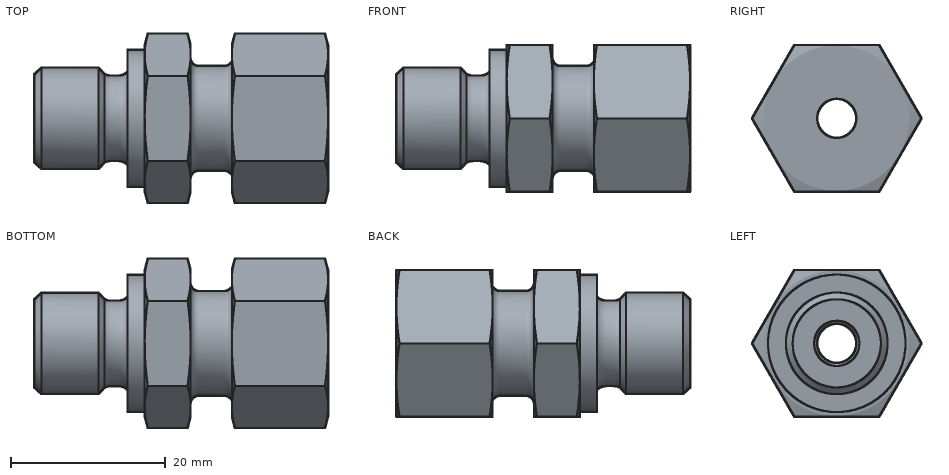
import cadquery as cq
import math

across_flats = 19.0
corner_radius = across_flats / math.sqrt(3)
crown_angle = math.radians(15)
outer_crown_diameter = 18.8
inner_crown_diameter = across_flats

thread_end = 8.3
undercut_cone_end = 9.1
undercut_floor_start = 9.85
undercut_floor_end = 10.9
flange_start = 12.05
body_hex_start = 14.25
body_hex_end = 20.2
nut_start = 25.55
nut_end = 38.0

thread_radius = 13.15 / 2
undercut_radius = 11.1 / 2
flange_radius = 17.8 / 2
neck_radius = 13.6 / 2
bore_radius = 5.0 / 2

thread_chamfer_length = 0.95
thread_chamfer_depth = 0.87
undercut_fillet = 1.6
neck_fillet = 1.0
neck_cone_start = 25.3
neck_cone_length = 0.7
nut_countersink_radius = 8.4
bore_chamfer = 0.4


def arc_point(start_x, start_radius, fillet, degrees):
    """Point on a concave fillet, at an angle from where it meets a cylinder; negative runs to -X."""
    angle = math.radians(degrees)
    return (start_x + fillet * math.sin(angle), start_radius + fillet * (1 - math.cos(angle)))


def revolve_profile(profile):
    return profile.close().revolve(360, (0, 0, 0), (1, 0, 0))


def turned_body():
    """Threaded stub, undercut, flange and neck as one revolved profile."""
    undercut_sweep = math.degrees(math.asin((undercut_floor_start - undercut_cone_end) / undercut_fillet))
    neck_floor_start = body_hex_end + neck_fillet
    neck_floor_end = neck_cone_start - neck_fillet * math.sin(math.radians(45))
    neck_cone_base = arc_point(neck_floor_end, neck_radius, neck_fillet, 45)
    undercut_wall = (flange_start, arc_point(undercut_floor_end, undercut_radius, undercut_fillet, 45)[1])

    profile = (
        cq.Workplane("XY")
        .moveTo(0, 0)
        .lineTo(0, thread_radius - thread_chamfer_depth)
        .lineTo(thread_chamfer_length, thread_radius)
        .lineTo(thread_end, thread_radius)
        .lineTo(*arc_point(undercut_floor_start, undercut_radius, undercut_fillet, -undercut_sweep))
        .threePointArc(
            arc_point(undercut_floor_start, undercut_radius, undercut_fillet, -undercut_sweep / 2),
            (undercut_floor_start, undercut_radius),
        )
        .lineTo(undercut_floor_end, undercut_radius)
        .threePointArc(
            arc_point(undercut_floor_end, undercut_radius, undercut_fillet, 22.5),
            undercut_wall,
        )
        .lineTo(flange_start, flange_radius)
        .lineTo(body_hex_end, flange_radius)
        .lineTo(body_hex_end, neck_radius + neck_fillet)
        .threePointArc(
            arc_point(neck_floor_start, neck_radius, neck_fillet, -45),
            (neck_floor_start, neck_radius),
        )
        .lineTo(neck_floor_end, neck_radius)
        .threePointArc(
            arc_point(neck_floor_end, neck_radius, neck_fillet, 22.5),
            neck_cone_base,
        )
        .lineTo(neck_cone_start + neck_cone_length, neck_cone_base[1] + neck_cone_length)
        .lineTo(nut_end, neck_cone_base[1] + neck_cone_length)
        .lineTo(nut_end, 0)
    )
    return revolve_profile(profile)


def crowned_hexagon(start, end, start_diameter, end_diameter):
    """Hexagonal prism along X with its corners coned off at both ends."""
    prism = (
        cq.Workplane("YZ", origin=(start, 0, 0))
        .polygon(6, 2 * corner_radius)
        .extrude(end - start)
    )
    start_setback = (corner_radius - start_diameter / 2) * math.tan(crown_angle)
    end_setback = (corner_radius - end_diameter / 2) * math.tan(crown_angle)
    envelope = revolve_profile(
        cq.Workplane("XY")
        .moveTo(start, 0)
        .lineTo(start, start_diameter / 2)
        .lineTo(start + start_setback, corner_radius)
        .lineTo(end - end_setback, corner_radius)
        .lineTo(end, end_diameter / 2)
        .lineTo(end, 0)
    )
    return prism.intersect(envelope)


def nut_countersink():
    """Conical recess in the nut's face, narrowing to the wide end of the neck cone."""
    recess_end = neck_cone_start + neck_cone_length
    neck_cone_rise = neck_fillet * (1 - math.cos(math.radians(45)))
    recess_floor_radius = neck_radius + neck_cone_rise + neck_cone_length
    return revolve_profile(
        cq.Workplane("XY")
        .moveTo(nut_start, 0)
        .lineTo(nut_start, nut_countersink_radius)
        .lineTo(recess_end, recess_floor_radius)
        .lineTo(recess_end, 0)
    )


def bore():
    """Through bore with a chamfered mouth at the threaded end."""
    return revolve_profile(
        cq.Workplane("XY")
        .moveTo(0, 0)
        .lineTo(0, bore_radius + bore_chamfer)
        .lineTo(bore_chamfer, bore_radius)
        .lineTo(nut_end, bore_radius)
        .lineTo(nut_end, 0)
    )


body_hex = crowned_hexagon(body_hex_start, body_hex_end, outer_crown_diameter, inner_crown_diameter)
nut = crowned_hexagon(nut_start, nut_end, inner_crown_diameter, outer_crown_diameter)
nut = nut.cut(nut_countersink())

result = turned_body().union(body_hex).union(nut).cut(bore())